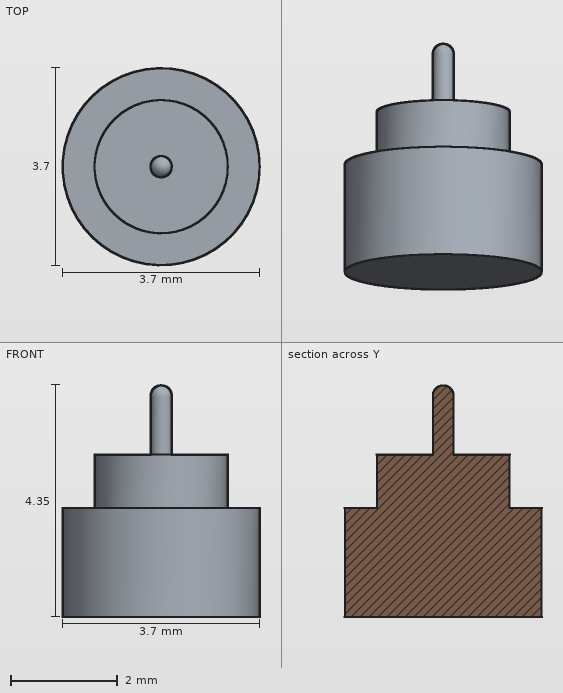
import cadquery as cq

body_diameter = 3.7
body_height = 2.05
collar_diameter = 2.5
collar_height = 1.0
insert_diameter = 1.8
pin_diameter = 0.4
overall_height = 4.35

collar_top = body_height + collar_height
pin_radius = pin_diameter / 2
pin_shoulder = overall_height - pin_radius


def cylinder(diameter, bottom, top):
    return cq.Workplane("XY").workplane(offset=bottom).circle(diameter / 2).extrude(top - bottom)


def make_shell():
    """Stepped body and collar, bored through the full height for the insert."""
    body = cylinder(body_diameter, 0, body_height)
    collar = cylinder(collar_diameter, body_height, collar_top)
    bore = cylinder(insert_diameter, 0, collar_top)
    return body.union(collar).cut(bore)


def make_insert():
    """Cylindrical filling of the bore, flush with the shell at both ends."""
    return cylinder(insert_diameter, 0, collar_top)


def make_pin():
    """Round contact pin with a hemispherical tip."""
    shaft = cylinder(pin_diameter, collar_top, pin_shoulder)
    tip = cq.Workplane("XY").sphere(pin_radius).translate((0, 0, pin_shoulder))
    return shaft.union(tip)


result = make_shell().union(make_insert(), clean=False).union(make_pin(), clean=False)